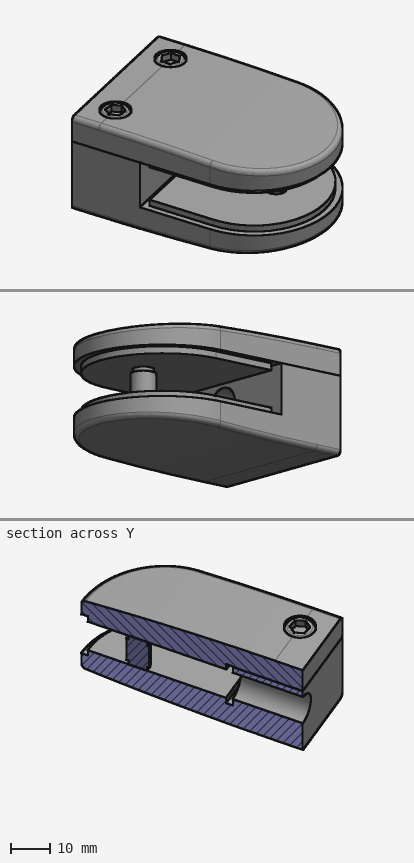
import cadquery as cq
import math


length = 63.0
width = 45.0
height = 28.0
nose_radius = width / 2
nose_center_x = length - nose_radius

flat_length = 7.9
crown_radius = 699.3
rim_fillet = 1.4

jaw_thickness = 7.25
slot_start_x = 20.0
slot_half_height = height / 2 - jaw_thickness

pad_inset = 1.8
pad_thickness = 1.8
pad_start_x = slot_start_x + pad_inset
pad_half_gap = slot_half_height - pad_thickness

rod_hole_diameter = 9.1

pin_x = 46.95
pin_neck_diameter = 5.5
pin_sleeve_diameter = 6.6
pin_sleeve_length = 7.5

screw_x = flat_length
screw_offset_y = 14.0
head_diameter = 7.95
head_recess_diameter = 8.2
head_fillet = 0.7
head_recess_depth = 0.75
head_height = 3.15
socket_corner_diameter = 5.2
socket_depth = 2.0
left_socket_angle = -4.0
right_socket_angle = 22.5


def d_prism(start_x, inset, bottom_z, top_z):
    """Prism over the D outline, inset at the sides and nose and cut off square at start_x."""
    radius = nose_radius - inset
    return (
        cq.Workplane("XY", origin=(0, 0, bottom_z))
        .moveTo(start_x, -radius)
        .lineTo(nose_center_x, -radius)
        .threePointArc((nose_center_x + radius, 0), (nose_center_x, radius))
        .lineTo(start_x, radius)
        .close()
        .extrude(top_z - bottom_z)
    )


def crown_z(x):
    """Height of the crowned upper face at a station beyond the flat length."""
    drop = crown_radius - math.sqrt(crown_radius**2 - (x - flat_length) ** 2)
    return height / 2 - drop


def clamp_envelope():
    """Outside shape of the closed clamp, with both crowned faces and rounded rims."""
    crown_middle_x = (flat_length + length) / 2
    side_profile = (
        cq.Workplane("XZ")
        .moveTo(0, -height / 2)
        .lineTo(flat_length, -height / 2)
        .threePointArc((crown_middle_x, -crown_z(crown_middle_x)), (length, -crown_z(length)))
        .lineTo(length, crown_z(length))
        .threePointArc((crown_middle_x, crown_z(crown_middle_x)), (flat_length, height / 2))
        .lineTo(0, height / 2)
        .close()
        .extrude(width / 2, both=True)
    )
    blank = d_prism(0, 0, -height / 2, height / 2).intersect(side_profile)
    return blank.edges("not(|Y or |Z)").fillet(rim_fillet)


def seam_block(depth):
    """Block starting at the seam between base and cover; a negative depth reaches downward."""
    seam_plane = cq.Workplane("XY", origin=(0, 0, slot_half_height))
    return seam_plane.rect(3 * length, 2 * width).extrude(depth)


def make_base(envelope):
    """Mounting block with the lower jaw, its pad and the threaded-rod hole."""
    slot = (
        cq.Workplane("XY")
        .box(length, 2 * width, 2 * slot_half_height, centered=(False, True, True))
        .translate((slot_start_x, 0, 0))
    )
    rod_hole = cq.Workplane("YZ").circle(rod_hole_diameter / 2).extrude(slot_start_x)
    pad = d_prism(pad_start_x, pad_inset, -slot_half_height, -pad_half_gap)
    return envelope.cut(seam_block(height)).cut(slot).cut(rod_hole).union(pad)


def head_recess(y):
    """Round recess that leaves a narrow groove around a screw head."""
    return (
        cq.Workplane("XY", origin=(screw_x, y, height / 2))
        .circle(head_recess_diameter / 2)
        .extrude(-head_recess_depth)
    )


def screw_head(y):
    """Round-edged screw head, flush with the flat part of the cover."""
    return (
        cq.Workplane("XY", origin=(screw_x, y, height / 2 - head_height))
        .circle(head_diameter / 2)
        .extrude(head_height)
        .faces(">Z")
        .edges()
        .fillet(head_fillet)
    )


def socket(y, angle):
    """Hexagonal key socket, turned about the screw axis."""
    return (
        cq.Workplane("XY")
        .polygon(6, socket_corner_diameter)
        .extrude(-socket_depth)
        .rotate((0, 0, 0), (0, 0, 1), angle)
        .translate((screw_x, y, height / 2))
    )


def make_cover(envelope):
    """Upper jaw with its pad and the two screw heads."""
    pad = d_prism(pad_start_x, pad_inset, pad_half_gap, slot_half_height)
    cover = envelope.cut(seam_block(-height)).union(pad)
    screws = ((screw_offset_y, left_socket_angle), (-screw_offset_y, right_socket_angle))
    for y, angle in screws:
        cover = cover.cut(head_recess(y)).union(screw_head(y)).cut(socket(y, angle))
    return cover


def make_pin():
    """Locking pin reaching from pad to pad, with a thicker sleeve at mid-length."""
    neck = cq.Workplane("XY").cylinder(2 * pad_half_gap, pin_neck_diameter / 2)
    sleeve = cq.Workplane("XY").cylinder(pin_sleeve_length, pin_sleeve_diameter / 2)
    return neck.union(sleeve).translate((pin_x, 0, 0))


envelope = clamp_envelope()
base = make_base(envelope)
cover = make_cover(envelope)
pin = make_pin()

result = cq.Compound.makeCompound([base.val(), cover.val(), pin.val()])